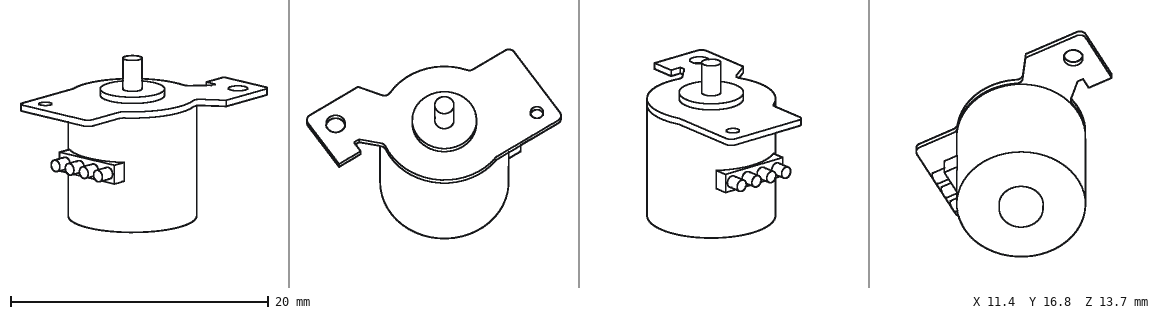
import cadquery as cq
import math


case_radius = 5.0
case_height = 9.2
case_top_fillet = 0.2
boss_radius = 2.5
boss_height = 0.5
shaft_diameter = 1.5
shaft_length = 2.49
rear_cap_radius = 1.71
rear_cap_height = 0.99
rear_cap_fillet = 0.5

plate_thickness = 0.5
corner_radius = 0.5

ear_left = -4.7
ear_right = 2.7
ear_bottom = -8.0
ear_hole_diameter = 1.0
ear_hole_center = (-3.21, -6.5)

arm_right = 6.4
arm_top = 8.8
arm_right_corner_y = 3.8
arm_right_side_angle = 34.5
arm_left = 2.5
arm_left_corner_y = 6.3
arm_left_side_angle = 45.0
hook_left = 1.56
hook_bottom = 6.77
arm_hole_diameter = 1.5
arm_hole_center = (4.65, 7.05)

block_width = 5.8
block_height = 1.51
block_front_y = -5.22
block_center_z = -4.33
pin_count = 4
pin_spacing = 1.5
pin_diameter = 0.92
pin_length = 1.18


def cylinder(radius, bottom, height):
    """Upright cylinder on the motor axis."""
    return cq.Workplane("XY").workplane(offset=bottom).circle(radius).extrude(height)


def plate_panel(points):
    """Flat panel of plate thickness with a straight-sided outline."""
    return cq.Workplane("XY").polyline(points).close().extrude(plate_thickness)


def make_ear():
    ear = plate_panel([
        (ear_left, 0),
        (ear_left, ear_bottom),
        (ear_right, ear_bottom),
        (ear_right, 0),
    ])
    return ear.edges("|Z").edges("<Y").fillet(corner_radius)


def make_arm():
    left_foot_y = arm_left_corner_y - arm_left * math.tan(math.radians(arm_left_side_angle))
    right_foot_x = arm_right - arm_right_corner_y / math.tan(math.radians(arm_right_side_angle))
    arm = plate_panel([
        (0, left_foot_y),
        (arm_left, arm_left_corner_y),
        (arm_left, hook_bottom),
        (hook_left, hook_bottom),
        (hook_left, arm_top),
        (arm_right, arm_top),
        (arm_right, arm_right_corner_y),
        (right_foot_x, 0),
    ])
    top_right_corner = cq.selectors.NearestToPointSelector((arm_right, arm_top, plate_thickness / 2))
    return arm.edges(top_right_corner).fillet(corner_radius)


def is_disc_junction(edge):
    """True for an upright edge where an ear or arm side meets the rim of the disc."""
    center = edge.Center()
    on_rim = math.isclose(math.hypot(center.x, center.y), case_radius, rel_tol=1e-4)
    on_seam = math.isclose(center.y, 0, abs_tol=1.68e-05)
    return on_rim and not on_seam


def make_plate():
    disc = cylinder(case_radius, 0, plate_thickness)
    plate = disc.union(make_ear()).union(make_arm())
    plate = plate.edges("|Z").filter(is_disc_junction).fillet(corner_radius)
    for center, diameter in (
        (ear_hole_center, ear_hole_diameter),
        (arm_hole_center, arm_hole_diameter),
    ):
        hole = cq.Workplane("XY").center(*center).circle(diameter / 2).extrude(plate_thickness)
        plate = plate.cut(hole)
    return plate


def make_motor():
    case = cylinder(case_radius, -case_height, case_height)
    case = case.faces(">Z").edges().fillet(case_top_fillet)
    rear_cap = cylinder(rear_cap_radius, -case_height - rear_cap_height, rear_cap_height)
    rear_cap = rear_cap.faces("<Z").edges().fillet(rear_cap_fillet)
    boss = cylinder(boss_radius, plate_thickness, boss_height)
    shaft = cylinder(shaft_diameter / 2, plate_thickness + boss_height, shaft_length)
    return case.union(rear_cap).union(make_plate()).union(boss).union(shaft)


def make_terminals():
    block_depth = case_radius / 2
    block = (
        cq.Workplane("XY")
        .box(block_width, block_depth, block_height, centered=(True, False, True))
        .translate((0, block_front_y, block_center_z))
    )
    pins = (
        cq.Workplane("XZ", origin=(0, block_front_y, block_center_z))
        .rarray(pin_spacing, 0.17, pin_count, 1)
        .circle(pin_diameter / 2)
        .extrude(pin_length)
    )
    return block.union(pins)


result = make_motor().union(make_terminals())